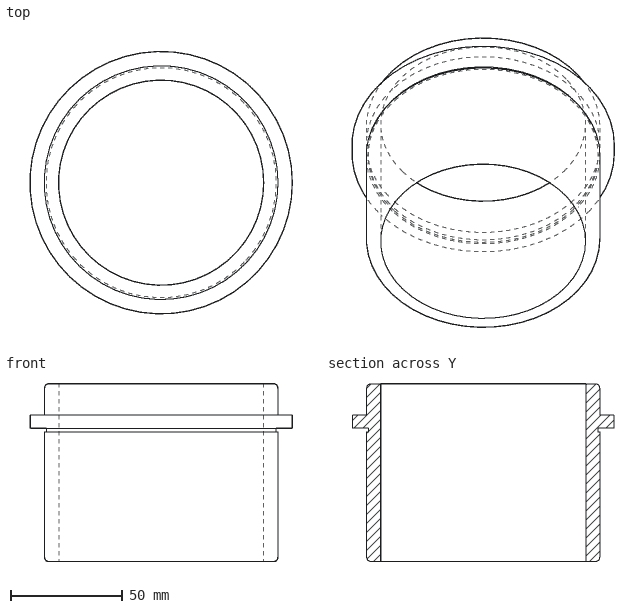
import cadquery as cq

height = 80.0
body_diameter = 105.0
bore_diameter = 92.0
flange_diameter = 118.0
flange_thickness = 6.0
flange_drop = 14.0
groove_width = 1.7
groove_depth = 0.8
rim_fillet = 2.0
flange_fillet = 0.5

flange_top = height - flange_drop
flange_bottom = flange_top - flange_thickness
groove_bottom = flange_bottom - groove_width


def disc(diameter, bottom, top):
    """Solid cylinder about Z between two heights."""
    return cq.Workplane("XY", origin=(0, 0, bottom)).circle(diameter / 2).extrude(top - bottom)


body = disc(body_diameter, 0, height).edges().fillet(rim_fillet)

groove_floor_diameter = body_diameter - 2 * groove_depth
groove = disc(flange_diameter, groove_bottom, flange_bottom).cut(
    disc(groove_floor_diameter, groove_bottom, flange_bottom)
)

flange = disc(flange_diameter, flange_bottom, flange_top).edges().fillet(flange_fillet)

bore = disc(bore_diameter, 0, height)

result = body.cut(groove).union(flange).cut(bore)